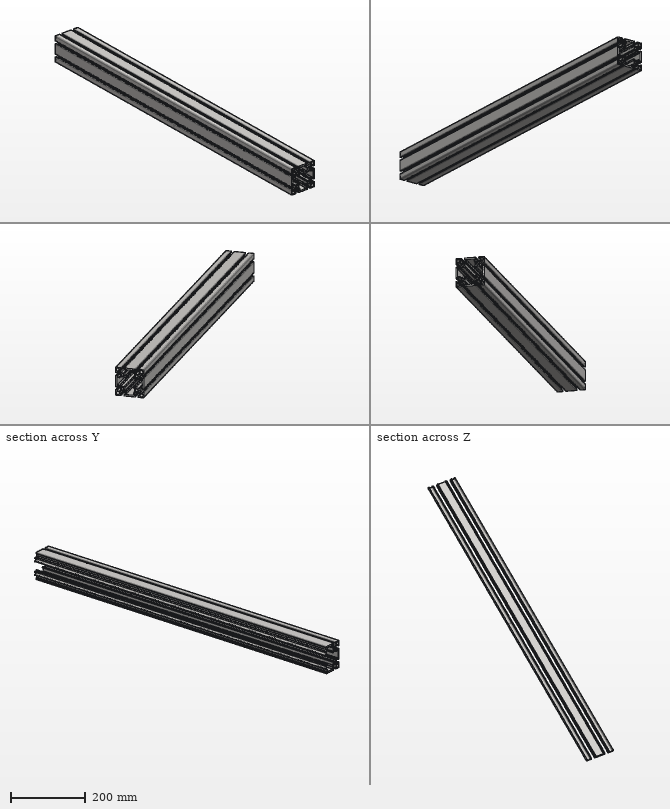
import cadquery as cq

length = 1000.0
side = 80.0
half = side / 2
corner_radius = 2.0

slot_offset = 20.0
slot_mouth = 8.2
lip_thickness = 4.0
lip_radius = 1.0
undercut = 2.9
slot_depth = 14.3
floor_bevel = 3.5
strut_shift = 1.5

corner_bore_diameter = 9.0
corner_bore_inset = 7.0
core_bore_diameter = 6.7

wall_thickness = 5.0
web_thickness = 2.4
core_wall = 2.9
web_bend_level = 25.5
nib_size = 2.5

mouth_inner = slot_offset - slot_mouth / 2
mouth_outer = slot_offset + slot_mouth / 2
cavity_inner = mouth_inner - undercut
cavity_outer = mouth_outer + undercut
lip_level = half - lip_thickness
floor_level = half - slot_depth
corner_bore_offset = half - corner_bore_inset
chamber_top = half - wall_thickness
web_inner = cavity_inner - web_thickness
core_face = slot_offset - core_bore_diameter / 2 - core_wall
nib_tip = core_face - nib_size


def prism(section):
    """Extrude a section drawn in the YZ plane over the full length."""
    return section.extrude(length / 2, both=True)


def quadrant_points(y, z):
    """The point (y, z) repeated in the four quadrants of the section."""
    return [(y, z), (-y, z), (-y, -z), (y, -z)]


def slot():
    """T-slot in the +Z face, on its +Y half."""
    outline = [
        (mouth_outer, half),
        (mouth_inner, half),
        (mouth_inner, lip_level),
        (cavity_inner, lip_level),
        (cavity_inner, floor_level + floor_bevel),
        (cavity_inner + floor_bevel, floor_level),
        (floor_level - strut_shift, floor_level),
        (cavity_outer, cavity_outer + strut_shift),
        (cavity_outer, lip_level),
        (mouth_outer, lip_level),
    ]
    return prism(cq.Workplane("YZ").polyline(outline).close())


def cut_slots(body):
    """Cut a mirrored pair of T-slots into each of the four long faces."""
    right_slot = slot()
    left_slot = right_slot.mirror("XZ")
    for angle in (0, 90, 180, 270):
        for face_slot in (right_slot, left_slot):
            body = body.cut(face_slot.rotate((0, 0, 0), (1, 0, 0), angle))
    return body


def chamber():
    """Central cross-shaped hollow, narrowed by a bevelled nib on the inner corner of each core."""
    arm = [
        (web_inner, chamber_top),
        (web_inner, web_bend_level + core_face - web_inner),
        (core_face, web_bend_level),
        (core_face, core_face + nib_size),
        (nib_tip, core_face),
    ]
    quadrant = arm + [(z, y) for y, z in reversed(arm)]
    outline = []
    for _ in range(4):
        outline += quadrant
        quadrant = [(z, -y) for y, z in quadrant]
    return prism(cq.Workplane("YZ").polyline(outline).close())


def bores(offset, diameter):
    """Four through bores, one in each quadrant of the section."""
    centres = quadrant_points(offset, offset)
    return prism(cq.Workplane("YZ").pushPoints(centres).circle(diameter / 2))


def round_long_edges(body, points, radius):
    """Fillet the lengthwise edges that pass through the given section points."""
    edges = cq.Workplane("YZ")
    for y, z in points:
        edges = edges.add(body.edges(cq.selectors.NearestToPointSelector((0, y, z))))
    return body.newObject(edges.vals()).fillet(radius)


body = prism(cq.Workplane("YZ").rect(side, side))
body = cut_slots(body)
body = body.cut(chamber())
body = body.cut(bores(slot_offset, core_bore_diameter))
body = body.cut(bores(corner_bore_offset, corner_bore_diameter))

body = round_long_edges(body, quadrant_points(half, half), corner_radius)

lip_edges = []
for lip_position in (mouth_inner, mouth_outer):
    lip_edges += quadrant_points(lip_position, half)
    lip_edges += quadrant_points(half, lip_position)
result = round_long_edges(body, lip_edges, lip_radius)